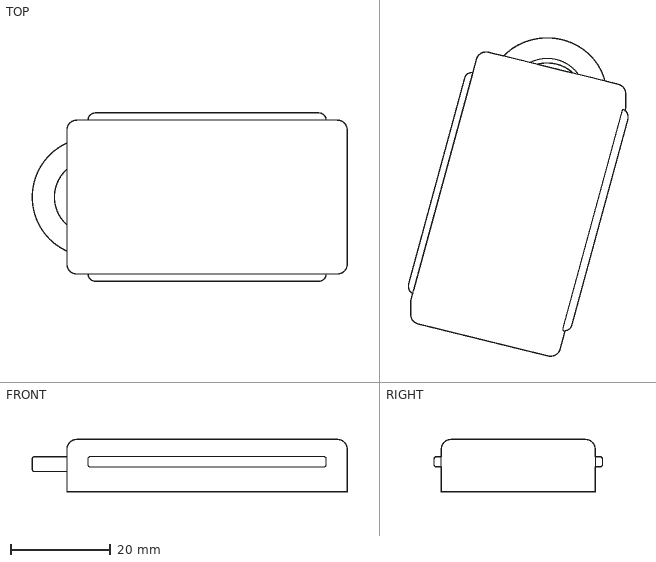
import cadquery as cq

total_length = 63.5
total_width = 34.0
body_height = 10.6

ring_reach = 7.0
rail_reach = 1.45
body_length = total_length - ring_reach
body_width = total_width - 2 * rail_reach
body_radius = 2.05

drop_from_top = 3.5
shared_top = body_height - drop_from_top
edge_radius = 0.5

ring_outer_radius = 12.0
ring_inner_radius = 7.5
ring_thickness = 3.05

rail_length = 48.0
rail_height = 2.1
rail_corner_radius = 1.5

body_left = -body_length / 2


def make_body():
    """Block with rounded upright corners and top edges, and a flat bottom."""
    block = cq.Workplane("XY").box(body_length, body_width, body_height, centered=(True, True, False))
    return block.edges("|Z or >Z").fillet(body_radius)


def make_ring():
    """Flat ring half buried in the -X end, rounded on its outer rims only."""
    ring_center_x = body_left - ring_reach + ring_outer_radius
    base = cq.Workplane("XY", origin=(ring_center_x, 0, shared_top - ring_thickness))
    disc = base.circle(ring_outer_radius).extrude(ring_thickness).edges().fillet(edge_radius)
    opening = base.circle(ring_inner_radius).extrude(ring_thickness)
    return disc.cut(opening)


def make_rails():
    """One rounded plate through the body, whose long sides stand out as the two rails."""
    base = cq.Workplane("XY", origin=(0, 0, shared_top - rail_height))
    plate = base.rect(rail_length, total_width).extrude(rail_height)
    plate = plate.edges("|Z").fillet(rail_corner_radius)
    return plate.faces("<Z or >Z").edges().fillet(edge_radius)


result = make_body().union(make_ring()).union(make_rails())